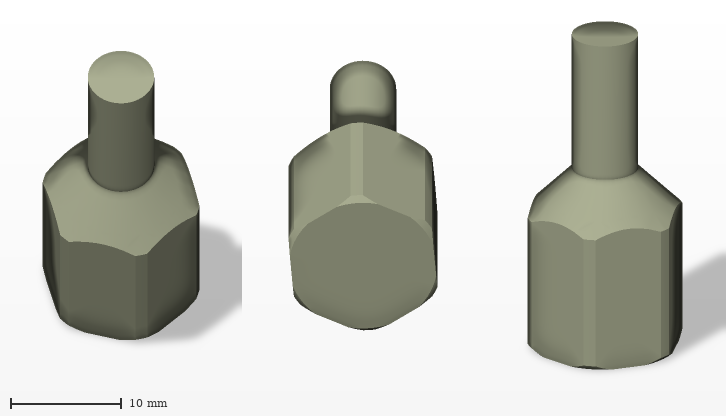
import cadquery as cq

total_height = 30
across_flats = 13.0
corner_diameter = 14.4
stem_diameter = 6
stem_length = 13.0
bottom_chamfer = 0.5

corner_radius = corner_diameter / 2
stem_radius = stem_diameter / 2
stem_base = total_height - stem_length
cone_base = stem_base - (corner_radius - stem_radius)


def turned_envelope():
    """Stem, conical shoulder and round body with a chamfered bottom edge."""
    body = cq.Workplane("XY").circle(corner_radius).extrude(cone_base)
    body = body.faces("<Z").edges().chamfer(bottom_chamfer)
    top = (
        cq.Workplane("XZ")
        .moveTo(0, cone_base)
        .lineTo(corner_radius, cone_base)
        .lineTo(stem_radius, stem_base)
        .lineTo(stem_radius, total_height)
        .lineTo(0, total_height)
        .close()
        .revolve(360, (0, 0, 0), (0, 1, 0))
    )
    return body.union(top)


def hexagonal_bar():
    """Hexagon with corners on the X axis and flats facing +Y and -Y."""
    bar = cq.Workplane("XY").polygon(6, across_flats, circumscribed=True).extrude(total_height)
    return bar.rotate((0, 0, 0), (0, 0, 1), 90)


result = turned_envelope().intersect(hexagonal_bar())